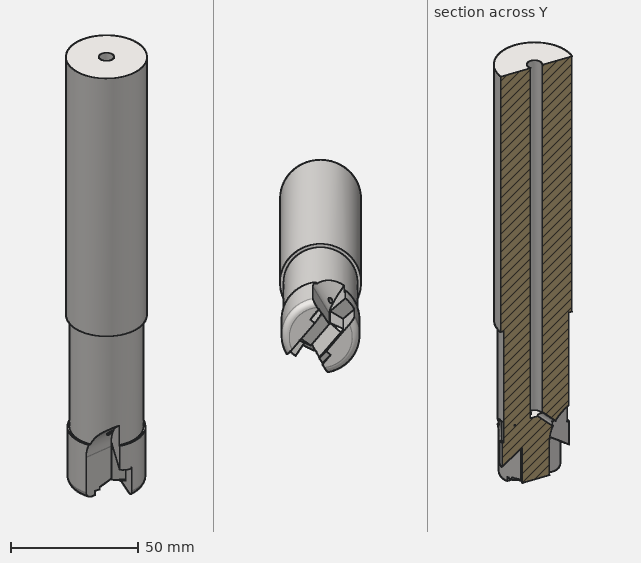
import math

import cadquery as cq

total_length = 197.5
shank_diameter = 32.0
shank_length = 120.0
neck_diameter = 29.2
head_diameter = 30.8
head_length = 25.5
head_corner_radius = 3.0
flute_count = 2

pocket_edge_x = 9.7
pocket_tilt = 20.0
pocket_flat_length = 19.6
pocket_runout_height = 34.4
pocket_runout_x = 14.6

seat_depth = 5.4
seat_clearance_angle = 15.0
seat_inner_offset = 6.0
seat_roof_slope = 35.5
seat_roof_height = 18.5
center_clearance_height = 4.2

heel_height = 1.9
heel_run = 5.0
heel_inner_x = 8.0
heel_width = 7.7

bore_diameter = 6.0
bore_bottom_height = 33.3
coolant_diameter = 2.2
coolant_entry_offset = 2.2
coolant_side_offset = 1.6
coolant_slope = 45.0

neck_radius = neck_diameter / 2
head_radius = head_diameter / 2
cut_reach = shank_diameter
tilt_angle = math.radians(pocket_tilt)
pocket_edge_y = -math.sqrt(head_radius**2 - pocket_edge_x**2)

runout_rise = pocket_runout_height - pocket_flat_length
runout_depth = (pocket_runout_x - pocket_edge_x) * math.cos(tilt_angle) - pocket_edge_y * math.sin(tilt_angle)
runout_radius = (runout_rise**2 + runout_depth**2) / (2 * runout_depth)


def make_body():
    head = cq.Workplane("XY").circle(head_radius).extrude(head_length)
    head = head.faces("<Z").edges().fillet(head_corner_radius)
    neck_length = total_length - shank_length - head_length
    neck = cq.Workplane("XY").workplane(offset=head_length).circle(neck_radius).extrude(neck_length)
    shank = (
        cq.Workplane("XY")
        .workplane(offset=total_length - shank_length)
        .circle(shank_diameter / 2)
        .extrude(shank_length)
    )
    return head.union(neck).union(shank)


def make_chip_pocket():
    """Pocket on the +X side, open toward -Y and ending at the cutting plane.

    Its profile is measured outward from the flat, then tilted about the flat's outer edge.
    """
    half_arc = math.asin(runout_rise / runout_radius) / 2
    middle_depth = runout_radius * (1 - math.cos(half_arc))
    middle_height = pocket_flat_length + runout_radius * math.sin(half_arc)
    prism = (
        cq.Workplane("XZ")
        .lineTo(0, pocket_flat_length)
        .threePointArc((middle_depth, middle_height), (runout_depth, pocket_runout_height))
        .lineTo(cut_reach, pocket_runout_height)
        .lineTo(cut_reach, 0)
        .close()
        .extrude(cut_reach, both=True)
        .rotate((0, 0, 0), (0, 0, 1), pocket_tilt)
        .translate((pocket_edge_x, pocket_edge_y, 0))
    )
    block_size = 4 * cut_reach
    behind_cutting_plane = cq.Workplane("XY").box(block_size, block_size, block_size)
    behind_cutting_plane = behind_cutting_plane.translate((0, block_size / 2, 0))
    return prism.cut(behind_cutting_plane)


def make_insert_seat():
    """Seat behind the +X chip pocket, running on across the axis below the core."""

    def roof_height(x):
        slope = math.tan(math.radians(seat_roof_slope))
        return seat_roof_height - slope * (x - pocket_edge_x)

    outer_x = head_radius + seat_depth
    return (
        cq.Workplane("XZ")
        .moveTo(seat_inner_offset, roof_height(seat_inner_offset))
        .lineTo(outer_x, roof_height(outer_x))
        .lineTo(outer_x, -cut_reach)
        .lineTo(-outer_x, -cut_reach)
        .lineTo(-outer_x, center_clearance_height)
        .lineTo(seat_inner_offset, center_clearance_height)
        .close()
        .extrude(-seat_depth, taper=seat_clearance_angle)
    )


def make_heel_relief():
    """Bevel under the chip pocket's flat, from the cutting plane to just short of the rim."""
    return (
        cq.Workplane("XZ")
        .moveTo(pocket_edge_x, heel_height)
        .lineTo(heel_inner_x, heel_height)
        .lineTo(heel_inner_x - heel_run, 0)
        .lineTo(pocket_edge_x, 0)
        .close()
        .extrude(heel_width)
    )


def make_coolant_hole():
    """Slanted hole from the bore bottom down and out through the chip pocket."""
    angle = math.radians(coolant_slope)
    direction = cq.Vector(math.cos(angle), 0, -math.sin(angle))
    entry = cq.Vector(coolant_entry_offset, -coolant_side_offset, bore_bottom_height)
    start = entry - direction * coolant_diameter
    length = coolant_diameter + (head_radius - coolant_entry_offset) / math.cos(angle)
    return cq.Workplane(cq.Solid.makeCylinder(coolant_diameter / 2, length, start, direction))


def make_bore():
    return (
        cq.Workplane("XY")
        .workplane(offset=bore_bottom_height)
        .circle(bore_diameter / 2)
        .extrude(total_length - bore_bottom_height)
    )


result = make_body().cut(make_bore())
flute_cuts = [make_chip_pocket(), make_insert_seat(), make_heel_relief(), make_coolant_hole()]
for flute in range(flute_count):
    flute_angle = flute * 360 / flute_count
    for flute_cut in flute_cuts:
        result = result.cut(flute_cut.rotate((0, 0, 0), (0, 0, 1), flute_angle))